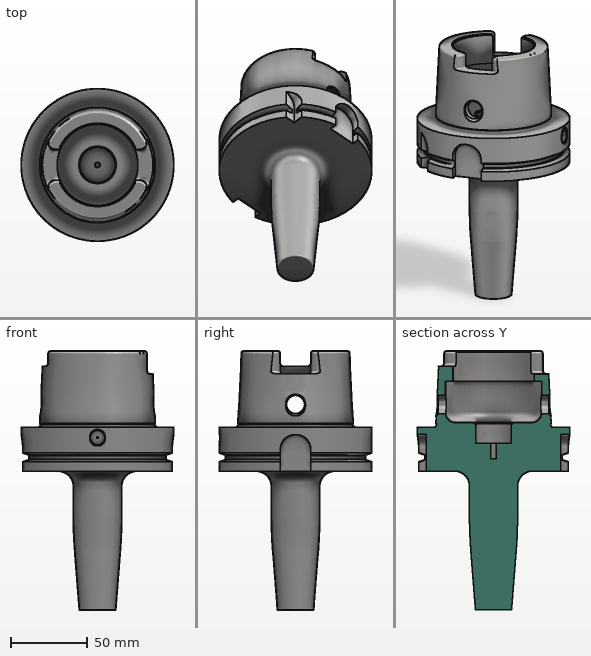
import cadquery as cq
import math


LENGTH = 169.9

SHANK_HEIGHT = 50.0
SHANK_TOP_RADIUS = 71.2 / 2
SHANK_BASE_RADIUS = 76.0 / 2
SHANK_BASE_HEIGHT = 2.4
RIM_ROUND = 1.9

RELIEF_RADIUS = 37.5
RELIEF_TOP_HEIGHT = 1.9
RELIEF_FLARE = 1.5

BORE_RADIUS = 26.5
BORE_CHAMFER = 0.8
BORE_LAND_DEPTH = 20.0
UNDERCUT_RADIUS = 31.5
BORE_FLOOR_DEPTH = 46.9
BORE_FLOOR_ROUND = 6.6
COOLANT_RADIUS = 11.5
COOLANT_STEP_WIDTH = 0.7
COOLANT_STEP_DEPTH = 1.0
COOLANT_DEPTH = 13.6
SCREW_RADIUS = 1.7
SCREW_DEPTH = 10.2

KEYWAY_WIDTH = 20.0
KEYWAY_DEPTHS = {-1: 10.0, 1: 15.1}
KEYWAY_CORNER = 5.0
KEYWAY_WALL_X = 32.5
KEYWAY_FLOOR_ROUND = 2.0

CROSS_HOLE_RADIUS = 6.0
CROSS_HOLE_HEIGHT = 14.8
CROSS_HOLE_CHAMFER = 1.2

FLANGE_RADIUS = 100.0 / 2
FLANGE_THICKNESS = 29.0
GROOVE_RADIUS = 92.1 / 2
GROOVE_MIDDLE = 19.9
GROOVE_MOUTH_WIDTH = 5.8
GROOVE_FLOOR_WIDTH = 3.0
GROOVE_FLOOR_ROUND = 0.5

SLOT_WIDTH = 20.0
SLOT_TOP_DEPTH = 5.0
DRIVE_SLOT_X = 44.2
NOTCH_X = 32.0
NOTCH_Y = 41.3

CHIP_HOLE_RADIUS = 4.8
CHIP_HOLE_CHAMFER = 0.7
CHIP_HOLE_DROP = 7.0
CHIP_HOLE_DEPTH = 4.6
CHIP_PILOT_RADIUS = 0.5
CHIP_PILOT_DEPTH = 0.8

NECK_RADIUS = 16.0
NECK_ROUND = 9.5
NECK_END_DROP = 58.5
TIP_RADIUS = 24.0 / 2
TIP_ROUND = 0.8
TIP_ANGLE = 4.5

CLEARANCE = 1.7

TIP_Z = SHANK_HEIGHT - LENGTH
SHANK_SLOPE = (SHANK_BASE_RADIUS - SHANK_TOP_RADIUS) / (SHANK_HEIGHT - SHANK_BASE_HEIGHT)


def shank_radius(z):
    """Outer radius of the taper at height z."""
    return SHANK_TOP_RADIUS + SHANK_SLOPE * (SHANK_HEIGHT - z)


def rod_along_x(x_start, length, y, z, radius):
    """Cylinder running in +X from x_start, with its axis at (y, z)."""
    return cq.Workplane("YZ", origin=(x_start, y, z)).circle(radius).extrude(length)


def turned_body():
    """Solid of revolution: shank, flange with groove, neck and tapered tip."""
    tip_slope = math.tan(math.radians(TIP_ANGLE))
    meet_z = TIP_Z + (NECK_RADIUS - TIP_RADIUS) / tip_slope
    tangent_length = -NECK_END_DROP - meet_z
    blend_end_radius = NECK_RADIUS - tangent_length * math.sin(math.radians(TIP_ANGLE))
    blend_end_z = meet_z - tangent_length * math.cos(math.radians(TIP_ANGLE))

    box_reach = (GROOVE_FLOOR_WIDTH + GROOVE_MOUTH_WIDTH) / 4
    groove_floor_edges = cq.selectors.BoxSelector(
        (-box_reach, -box_reach, -GROOVE_MIDDLE - box_reach),
        (box_reach, box_reach, -GROOVE_MIDDLE + box_reach),
    )

    return (
        cq.Workplane("XZ")
        .moveTo(0, SHANK_HEIGHT)
        .lineTo(SHANK_TOP_RADIUS, SHANK_HEIGHT)
        .lineTo(SHANK_BASE_RADIUS, SHANK_BASE_HEIGHT)
        .lineTo(RELIEF_RADIUS, RELIEF_TOP_HEIGHT)
        .lineTo(RELIEF_RADIUS, RELIEF_FLARE)
        .radiusArc((RELIEF_RADIUS + RELIEF_FLARE, 0), -RELIEF_FLARE)
        .lineTo(FLANGE_RADIUS, 0)
        .lineTo(FLANGE_RADIUS, -GROOVE_MIDDLE + GROOVE_MOUTH_WIDTH / 2)
        .lineTo(GROOVE_RADIUS, -GROOVE_MIDDLE + GROOVE_FLOOR_WIDTH / 2)
        .lineTo(GROOVE_RADIUS, -GROOVE_MIDDLE - GROOVE_FLOOR_WIDTH / 2)
        .lineTo(FLANGE_RADIUS, -GROOVE_MIDDLE - GROOVE_MOUTH_WIDTH / 2)
        .lineTo(FLANGE_RADIUS, -FLANGE_THICKNESS)
        .lineTo(NECK_RADIUS + NECK_ROUND, -FLANGE_THICKNESS)
        .radiusArc((NECK_RADIUS, -FLANGE_THICKNESS - NECK_ROUND), -NECK_ROUND)
        .lineTo(NECK_RADIUS, -NECK_END_DROP)
        .tangentArcPoint((blend_end_radius, blend_end_z), relative=False)
        .lineTo(TIP_RADIUS, TIP_Z)
        .lineTo(0, TIP_Z)
        .close()
        .revolve(360, (0, 0, 0), (0, 1, 0))
        .faces("<Z").edges().fillet(TIP_ROUND)
        .faces(">Z").edges().fillet(RIM_ROUND)
        .edges(groove_floor_edges).fillet(GROOVE_FLOOR_ROUND)
    )


def bore():
    """Stepped cavity from the rim down to the coolant socket and its screw hole."""
    land_z = SHANK_HEIGHT - BORE_LAND_DEPTH
    floor_z = SHANK_HEIGHT - BORE_FLOOR_DEPTH
    socket_z = floor_z - COOLANT_DEPTH
    return (
        cq.Workplane("XZ")
        .moveTo(0, SHANK_HEIGHT)
        .lineTo(BORE_RADIUS + BORE_CHAMFER, SHANK_HEIGHT)
        .lineTo(BORE_RADIUS, SHANK_HEIGHT - BORE_CHAMFER)
        .lineTo(BORE_RADIUS, land_z)
        .lineTo(UNDERCUT_RADIUS, land_z)
        .lineTo(UNDERCUT_RADIUS, floor_z + BORE_FLOOR_ROUND)
        .radiusArc((UNDERCUT_RADIUS - BORE_FLOOR_ROUND, floor_z), BORE_FLOOR_ROUND)
        .lineTo(COOLANT_RADIUS + COOLANT_STEP_WIDTH, floor_z)
        .lineTo(COOLANT_RADIUS + COOLANT_STEP_WIDTH, floor_z - COOLANT_STEP_DEPTH)
        .lineTo(COOLANT_RADIUS, floor_z - COOLANT_STEP_DEPTH)
        .lineTo(COOLANT_RADIUS, socket_z)
        .lineTo(SCREW_RADIUS, socket_z)
        .lineTo(SCREW_RADIUS, socket_z - SCREW_DEPTH)
        .lineTo(0, socket_z - SCREW_DEPTH)
        .close()
        .revolve(360, (0, 0, 0), (0, 1, 0))
    )


def keyway(side, depth):
    """Cutter for the rim keyway on the +X (1) or -X (-1) side.

    It is shaped around the two rim segments that stay standing.
    """
    floor_z = SHANK_HEIGHT - depth
    segment = (
        cq.Workplane("XY")
        .box(2 * KEYWAY_WALL_X, FLANGE_RADIUS, depth, centered=(True, False, False))
        .edges("|Z and <Y").fillet(KEYWAY_CORNER)
        .faces(">Z").edges().fillet(RIM_ROUND)
        .translate((0, KEYWAY_WIDTH / 2, floor_z))
    )
    cutter = (
        cq.Workplane("XY")
        .box(FLANGE_RADIUS, 2 * FLANGE_RADIUS, depth, centered=(False, True, False))
        .translate((0, 0, floor_z))
        .cut(segment)
        .cut(segment.mirror("XZ"))
        .faces("<Z").edges().fillet(KEYWAY_FLOOR_ROUND)
    )
    return cutter if side > 0 else cutter.mirror("YZ")


def cross_hole(side):
    """Countersunk hole from the shank surface into the bore, on the +X (1) or -X (-1) side."""
    surface = shank_radius(CROSS_HOLE_HEIGHT)
    mouth = CROSS_HOLE_RADIUS + CROSS_HOLE_CHAMFER
    reach = mouth + CLEARANCE
    hole = rod_along_x(0, surface, 0, CROSS_HOLE_HEIGHT, CROSS_HOLE_RADIUS)
    sink = cq.Workplane(
        cq.Solid.makeCone(
            0, reach, reach,
            cq.Vector(surface - mouth, 0, CROSS_HOLE_HEIGHT), cq.Vector(1, 0, 0),
        )
    )
    cutter = hole.union(sink)
    return cutter if side > 0 else cutter.mirror("YZ")


def flange_slot(inner_x, y):
    """Round-topped slot open to the underside, cut from x = inner_x outwards."""
    radius = SLOT_WIDTH / 2
    arch_z = -SLOT_TOP_DEPTH - radius
    drop = FLANGE_THICKNESS + arch_z
    length = FLANGE_RADIUS - inner_x + CLEARANCE
    arch = rod_along_x(inner_x, length, y, arch_z, radius)
    legs = cq.Workplane("XY").box(length, SLOT_WIDTH, drop, centered=(False, True, False))
    return arch.union(legs.translate((inner_x, y, -FLANGE_THICKNESS)))


def chip_hole():
    """Flat blind hole with a small pilot, on the -Y side of the flange."""
    floor = FLANGE_RADIUS - CHIP_HOLE_DEPTH
    mouth = CHIP_HOLE_RADIUS + CHIP_HOLE_CHAMFER
    return (
        cq.Workplane("XY", origin=(0, 0, -CHIP_HOLE_DROP))
        .moveTo(0, -floor + CHIP_PILOT_DEPTH)
        .lineTo(CHIP_PILOT_RADIUS, -floor + CHIP_PILOT_DEPTH)
        .lineTo(CHIP_PILOT_RADIUS, -floor)
        .lineTo(CHIP_HOLE_RADIUS, -floor)
        .lineTo(CHIP_HOLE_RADIUS, -FLANGE_RADIUS + CHIP_HOLE_CHAMFER)
        .lineTo(mouth, -FLANGE_RADIUS)
        .lineTo(mouth, -FLANGE_RADIUS - CLEARANCE)
        .lineTo(0, -FLANGE_RADIUS - CLEARANCE)
        .close()
        .revolve(360, (0, 0, 0), (0, 1, 0))
    )


result = turned_body()

for side, depth in KEYWAY_DEPTHS.items():
    result = result.cut(keyway(side, depth))
result = result.cut(bore())

for side in KEYWAY_DEPTHS:
    result = result.cut(cross_hole(side))

drive_slot = flange_slot(DRIVE_SLOT_X, 0)
notch = flange_slot(NOTCH_X, NOTCH_Y).mirror("YZ")
result = result.cut(drive_slot).cut(drive_slot.mirror("YZ")).cut(notch)
result = result.cut(chip_hole())